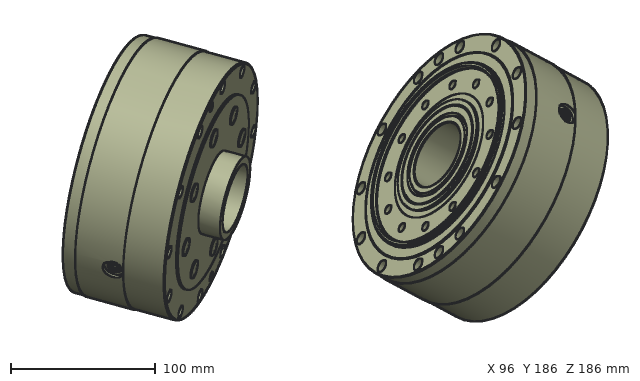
import cadquery as cq
import math

FRONT_X = 0.0
FLANGE_X = 3.0
BODY_START_X = 12.5
BODY_END_X = 48.0
REAR_X = 78.5
REAR_PLATE_X = 80.0
OVERALL_LENGTH = 96.0

BODY_DIA = 186.0
END_DIA = 185.0
PILOT_DIA = 140.0
SHAFT_DIA = 60.0
BORE_DIA = 49.0
REAR_EDGE_CHAMFER = 0.8
PILOT_EDGE_CHAMFER = 1.0

FLANGE_EDGE_CHAMFER = 0.5
FLANGE_GROOVE_DIA = 157.0
FLANGE_GROOVE_DEPTH = 0.6
PILOT_RECESS_DIA = 132.0
PILOT_MOUTH_DIA = 133.8
PILOT_MOUTH_DEPTH = 2.0
COVER_STEP_DIA = 94.2
COVER_STEP_DEPTH = 0.1
COVER_DIA = 84.0
COVER_X = 1.3
COVER_GROOVE_INNER_DIA = 74.4
COVER_GROOVE_OUTER_DIA = 76.0
COVER_GROOVE_DEPTH = 1.0
SHAFT_GROOVE_OUTER_DIA = 63.4
SHAFT_GROOVE_BOTTOM_DIA = 60.4
SHAFT_GROOVE_INNER_DIA = 58.6
SHAFT_GROOVE_DEPTH = 2.0
BORE_EDGE_CHAMFER = 0.5

FLANGE_BOLT_COUNT = 12
FLANGE_BOLT_CIRCLE_DIA = 172.0
FLANGE_HOLE_DIA = 9.0
FLANGE_HOLE_START_ANGLE = 15.0
JACK_HOLE_COUNT = 2
JACK_HOLE_DIA = 6.65
JACK_COUNTERBORE_DIA = 9.0
JACK_COUNTERBORE_DEPTH = BODY_START_X - FLANGE_X

OUTPUT_HOLE_COUNT = 12
OUTPUT_HOLE_CIRCLE_DIA = 112.0
OUTPUT_HOLE_DIA = 6.65
OUTPUT_HOLE_DEPTH = 15.0
DRILL_POINT_ANGLE = 118.0

REAR_PAD_COUNT = 8
REAR_PAD_DIA = 13.0
REAR_PAD_HEIGHT = 0.7
REAR_PAD_CIRCLE_DIA = 110.0

PORT_DIA = 15.0
PORT_X = BODY_END_X - PORT_DIA / 2
PORT_DEPTH = 3.0
PORT_BOSS_BASE_DIA = 10.0
PORT_BOSS_TOP_DIA = 8.57
PORT_BOSS_HEIGHT = 0.5
PORT_HOLE_DIA = 5.5
PORT_HOLE_DEPTH = 2.0


def circle_points(circle_dia, count, start_angle):
    """Evenly spaced (Y, Z) points on a circle about the X axis."""
    points = []
    for index in range(count):
        angle = math.radians(start_angle + index * 360.0 / count)
        points.append((circle_dia / 2 * math.cos(angle), circle_dia / 2 * math.sin(angle)))
    return points


def cylinders(points, dia, x_start, x_end):
    """Cylinders along X standing on the given (Y, Z) points."""
    plane = cq.Workplane("YZ", origin=(x_start, 0, 0))
    return plane.pushPoints(points).circle(dia / 2).extrude(x_end - x_start)


def drilled_hole(dia, depth, origin, direction):
    """Drilled hole with a conical bottom; depth is that of the straight part."""
    tip = dia / 2 / math.tan(math.radians(DRILL_POINT_ANGLE / 2))
    start = cq.Vector(*origin)
    axis = cq.Vector(*direction)
    straight = cq.Solid.makeCylinder(dia / 2, depth, start, axis)
    point = cq.Solid.makeCone(dia / 2, 0, tip, start + axis * depth, axis)
    return cq.Workplane(straight.fuse(point))


def turned_body():
    """Housing, front faces, shaft and bore, revolved as one half section."""
    step_x = FLANGE_X + COVER_STEP_DEPTH
    half_section = [
        (COVER_X + BORE_EDGE_CHAMFER, BORE_DIA / 2),
        (COVER_X, BORE_DIA / 2 + BORE_EDGE_CHAMFER),
        (COVER_X, SHAFT_GROOVE_INNER_DIA / 2),
        (COVER_X + SHAFT_GROOVE_DEPTH, SHAFT_GROOVE_BOTTOM_DIA / 2),
        (COVER_X, SHAFT_GROOVE_OUTER_DIA / 2),
        (COVER_X, COVER_GROOVE_INNER_DIA / 2),
        (COVER_X + COVER_GROOVE_DEPTH, COVER_GROOVE_INNER_DIA / 2),
        (COVER_X, COVER_GROOVE_OUTER_DIA / 2),
        (COVER_X, COVER_DIA / 2),
        (step_x, COVER_DIA / 2),
        (step_x, COVER_STEP_DIA / 2),
        (FLANGE_X, COVER_STEP_DIA / 2),
        (FLANGE_X, PILOT_RECESS_DIA / 2),
        (FRONT_X + PILOT_MOUTH_DEPTH, PILOT_RECESS_DIA / 2),
        (FRONT_X, PILOT_MOUTH_DIA / 2),
        (FRONT_X, PILOT_DIA / 2 - PILOT_EDGE_CHAMFER),
        (FRONT_X + PILOT_EDGE_CHAMFER, PILOT_DIA / 2),
        (FLANGE_X, PILOT_DIA / 2),
        (FLANGE_X, FLANGE_GROOVE_DIA / 2 - FLANGE_GROOVE_DEPTH),
        (FLANGE_X + FLANGE_GROOVE_DEPTH, FLANGE_GROOVE_DIA / 2),
        (FLANGE_X, FLANGE_GROOVE_DIA / 2),
        (FLANGE_X, END_DIA / 2 - FLANGE_EDGE_CHAMFER),
        (FLANGE_X + FLANGE_EDGE_CHAMFER, END_DIA / 2),
        (BODY_START_X, END_DIA / 2),
        (BODY_START_X, BODY_DIA / 2),
        (BODY_END_X, BODY_DIA / 2),
        (BODY_END_X, END_DIA / 2),
        (REAR_X - REAR_EDGE_CHAMFER, END_DIA / 2),
        (REAR_X, END_DIA / 2 - REAR_EDGE_CHAMFER),
        (REAR_X, PILOT_DIA / 2),
        (REAR_PLATE_X, PILOT_DIA / 2),
        (REAR_PLATE_X, SHAFT_DIA / 2),
        (OVERALL_LENGTH, SHAFT_DIA / 2),
        (OVERALL_LENGTH, BORE_DIA / 2),
    ]
    return cq.Workplane("XY").polyline(half_section).close().revolve(360, (0, 0, 0), (1, 0, 0))


def cut_flange_holes(body):
    """Bolt holes and counterbored jack holes, all running through the housing."""
    bolts = circle_points(FLANGE_BOLT_CIRCLE_DIA, FLANGE_BOLT_COUNT, FLANGE_HOLE_START_ANGLE)
    jacks = circle_points(FLANGE_BOLT_CIRCLE_DIA, JACK_HOLE_COUNT, 90.0)
    body = body.cut(cylinders(bolts, FLANGE_HOLE_DIA, FLANGE_X, REAR_X))
    body = body.cut(cylinders(jacks, JACK_HOLE_DIA, FLANGE_X, REAR_X))
    return body.cut(cylinders(jacks, JACK_COUNTERBORE_DIA, FLANGE_X, FLANGE_X + JACK_COUNTERBORE_DEPTH))


def cut_output_holes(body):
    """Blind drilled holes in the front face."""
    start_angle = 180.0 / OUTPUT_HOLE_COUNT
    for y, z in circle_points(OUTPUT_HOLE_CIRCLE_DIA, OUTPUT_HOLE_COUNT, start_angle):
        body = body.cut(drilled_hole(OUTPUT_HOLE_DIA, OUTPUT_HOLE_DEPTH, (FLANGE_X, y, z), (1, 0, 0)))
    return body


def add_rear_pads(body):
    """Low round pads on the rear plate."""
    points = circle_points(REAR_PAD_CIRCLE_DIA, REAR_PAD_COUNT, 0.0)
    return body.union(cylinders(points, REAR_PAD_DIA, REAR_X, REAR_PLATE_X + REAR_PAD_HEIGHT))


def cut_grease_port(body):
    """Round pocket with a drilled conical boss on its floor."""
    floor_y = -BODY_DIA / 2 + PORT_DEPTH
    boss_top_y = floor_y - PORT_BOSS_HEIGHT
    inward = cq.Vector(0, 1, 0)
    outer_point = cq.Vector(PORT_X, -BODY_DIA / 2, 0)
    pocket = cq.Solid.makeCylinder(PORT_DIA / 2, PORT_DEPTH, outer_point, inward)
    boss = cq.Solid.makeCone(
        PORT_BOSS_TOP_DIA / 2,
        PORT_BOSS_BASE_DIA / 2,
        PORT_BOSS_HEIGHT,
        cq.Vector(PORT_X, boss_top_y, 0),
        inward,
    )
    body = body.cut(cq.Workplane(pocket)).union(cq.Workplane(boss))
    return body.cut(drilled_hole(PORT_HOLE_DIA, PORT_HOLE_DEPTH, (PORT_X, boss_top_y, 0), (0, 1, 0)))


result = turned_body()
result = cut_flange_holes(result)
result = cut_output_holes(result)
result = add_rear_pads(result)
result = cut_grease_port(result)